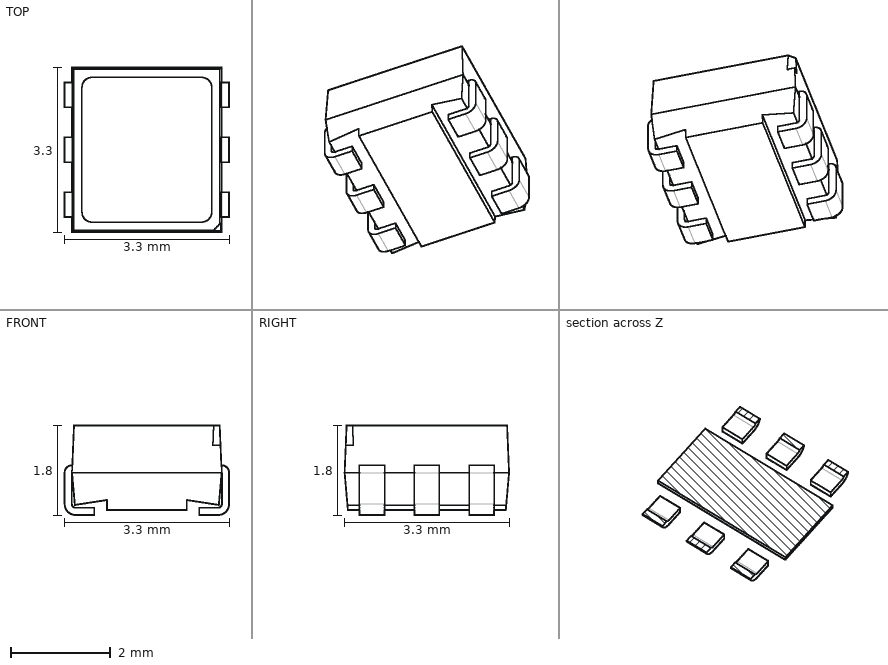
import cadquery as cq
import math


overall_width = 3.3
package_length = 3.3
package_height = 1.8
lead_thickness = 0.15
package_width = overall_width - 2 * lead_thickness

parting_z = 0.85
upper_draft = 2.4
lower_draft = 5.0

pad_width = 1.6
pad_z = 0.1
undercut_outer_z = 0.2
undercut_inner_z = 0.3

notch_leg = 0.2
notch_depth = 0.4

lens_width = 2.6
lens_length = 2.9
lens_corner_radius = 0.2
lens_depth = 0.395

lead_width = 0.5
lead_pitch = 1.1
lead_rows = 3
foot_length = 0.6
heel_inner_radius = 0.075
embedded_length = 0.198


def tapered_block(start_z, height, draft):
    """Block that starts at the parting-plane outline and narrows along Z by the draft."""
    return (
        cq.Workplane("XY", origin=(0, 0, start_z))
        .rect(package_width, package_length)
        .extrude(height, taper=draft)
    )


def make_lens():
    """Rounded rectangular window, flush with the top of the housing."""
    return (
        cq.Workplane("XY", origin=(0, 0, package_height - lens_depth))
        .rect(lens_width, lens_length)
        .extrude(lens_depth)
        .edges("|Z")
        .fillet(lens_corner_radius)
    )


def make_lead(side, y):
    """Lead on the +X (side = 1) or -X (side = -1) wall: tail, shoulder, shank, heel and foot."""
    outer_x = overall_width / 2
    inner_x = outer_x - lead_thickness
    tail_x = inner_x - embedded_length
    foot_x = outer_x - foot_length
    shoulder_z = parting_z + lead_thickness
    heel_outer_radius = heel_inner_radius + lead_thickness
    heel_x = outer_x - heel_outer_radius
    profile = (
        cq.Workplane("XZ", origin=(0, lead_width / 2, 0))
        .moveTo(tail_x, parting_z)
        .lineTo(tail_x, shoulder_z)
        .lineTo(inner_x, shoulder_z)
        .radiusArc((outer_x, parting_z), lead_thickness)
        .lineTo(outer_x, heel_outer_radius)
        .radiusArc((heel_x, 0), heel_outer_radius)
        .lineTo(foot_x, 0)
        .lineTo(foot_x, lead_thickness)
        .lineTo(heel_x, lead_thickness)
        .radiusArc((inner_x, heel_outer_radius), -heel_inner_radius)
        .lineTo(inner_x, parting_z)
        .close()
    )
    lead = profile.extrude(lead_width)
    if side < 0:
        lead = lead.mirror("YZ")
    return lead.translate((0, y, 0))


def make_corner_notch():
    """Triangular cutter for the +X, -Y top corner."""
    corner_x = package_width / 2
    corner_y = -package_length / 2
    return (
        cq.Workplane("XY", origin=(0, 0, package_height - notch_depth))
        .moveTo(corner_x, corner_y)
        .lineTo(corner_x, corner_y + notch_leg)
        .lineTo(corner_x - notch_leg, corner_y)
        .close()
        .extrude(notch_depth)
    )


def make_upper_housing(lens, leads):
    """Upper half, with a pocket for the lens, slots for the lead tails and the corner notch."""
    housing = tapered_block(parting_z, package_height - parting_z, upper_draft)
    housing = housing.cut(make_corner_notch()).cut(lens)
    for lead in leads:
        housing = housing.cut(lead)
    return housing


def make_undercut(side):
    """Cutter below one side of the lower half; its roof rises toward the central pad."""
    pad_x = side * pad_width / 2
    reach = package_width / 2
    wall_x = reach - (parting_z - undercut_outer_z) * math.tan(math.radians(lower_draft))
    roof_slope = (undercut_inner_z - undercut_outer_z) / (wall_x - pad_width / 2)
    reach_z = undercut_outer_z - roof_slope * (reach - wall_x)
    return (
        cq.Workplane("XZ")
        .moveTo(pad_x, 0)
        .lineTo(pad_x, undercut_inner_z)
        .lineTo(side * reach, reach_z)
        .lineTo(side * reach, 0)
        .close()
        .extrude(package_length / 2, both=True)
    )


def make_lower_housing():
    """Lower half, standing on the central pad."""
    housing = tapered_block(parting_z, pad_z - parting_z, lower_draft)
    for side in (-1, 1):
        housing = housing.cut(make_undercut(side))
    return housing


lens = make_lens()

leads = []
for side in (-1, 1):
    for row in range(lead_rows):
        row_y = (row - (lead_rows - 1) / 2) * lead_pitch
        leads.append(make_lead(side, row_y))

upper_housing = make_upper_housing(lens, leads)
lower_housing = make_lower_housing()

result = cq.Compound.makeCompound(
    [upper_housing.val(), lower_housing.val(), lens.val()] + [lead.val() for lead in leads]
)